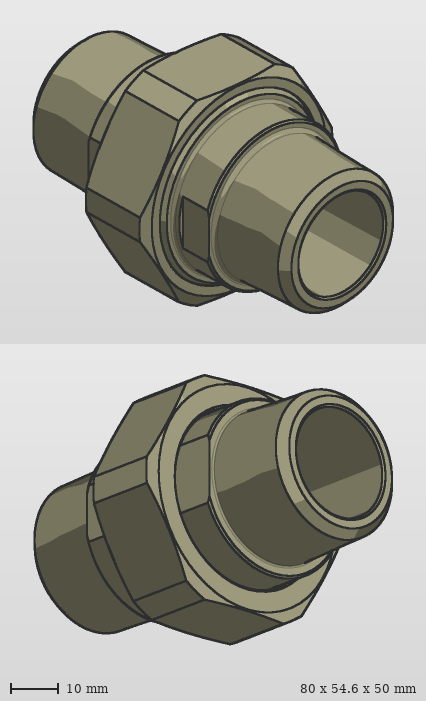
import cadquery as cq
import math

LENGTH = 80.0

END_RADIUS = 14.4
END_CHAMFER_LENGTH = 2.1
TAPER_START_RADIUS = 16.3
TAPER_END_RADIUS = 17.0
BORE_CHAMFER = 0.5

COLLAR_RADIUS = 39.0 / 2
COLLAR_CHAMFER = 0.5

NUT_START = 29.4
NUT_END = 48.0
ACROSS_FLATS = 50.0
CORNER_RADIUS = 54.6 / 2
NUT_FACE_RADIUS = 24.7
NUT_CHAMFER_LENGTH = 1.0
LIP_THICKNESS = 3.5
LIP_HOLE_RADIUS = 39.5 / 2
LIP_CHAMFER = 0.5

TAIL_BORE_RADIUS = 24.2 / 2
TAIL_COLLAR_START = 21.0
TAIL_FILLET = 0.4
TAIL_FLAT_OFFSET = 18.0
FLANGE_START = NUT_START + LIP_THICKNESS
FLANGE_THICKNESS = 4.0
FLANGE_END = FLANGE_START + FLANGE_THICKNESS
FLANGE_RADIUS = 43.0 / 2
FLANGE_RECESS_RADIUS = 43.4 / 2

BODY_BORE_RADIUS = 24.0 / 2
SCREW_RADIUS = 44.9 / 2
SCREW_END = 49.0
SCREW_CHAMFER_LENGTH = 1.5
SCREW_END_RADIUS = 21.4
SCREW_FILLET = 0.7
BODY_COLLAR_END = 59.0
BODY_FILLET = 1.0
BODY_FLAT_START = 50.9
BODY_FLAT_OFFSET = 18.5


def revolve_about_x(profile):
    """Revolve a closed (x, radius) outline about the X axis."""
    return profile.close().revolve(360, (0, 0, 0), (1, 0, 0))


def cut_wrench_flats(piece, x_start, x_end, offset):
    """Cut two flats, facing -Y and +Y, between two places along X."""
    depth = COLLAR_RADIUS - offset
    for side in (-1, 1):
        cutter = cq.Workplane("XY").box(x_end - x_start, depth, 2 * COLLAR_RADIUS).translate(
            ((x_start + x_end) / 2, side * (offset + depth / 2), 0)
        )
        piece = piece.cut(cutter)
    return piece


def make_tailpiece():
    taper_end = TAIL_COLLAR_START - TAIL_FILLET
    profile = (
        cq.Workplane("XY")
        .moveTo(0, TAIL_BORE_RADIUS + BORE_CHAMFER)
        .lineTo(0, END_RADIUS)
        .lineTo(END_CHAMFER_LENGTH, TAPER_START_RADIUS)
        .lineTo(taper_end, TAPER_END_RADIUS)
        .radiusArc((TAIL_COLLAR_START, TAPER_END_RADIUS + TAIL_FILLET), -TAIL_FILLET)
        .lineTo(TAIL_COLLAR_START, COLLAR_RADIUS - COLLAR_CHAMFER)
        .lineTo(TAIL_COLLAR_START + COLLAR_CHAMFER, COLLAR_RADIUS)
        .lineTo(FLANGE_START, COLLAR_RADIUS)
        .lineTo(FLANGE_START, FLANGE_RADIUS)
        .lineTo(FLANGE_END, FLANGE_RADIUS)
        .lineTo(FLANGE_END, TAIL_BORE_RADIUS)
        .lineTo(BORE_CHAMFER, TAIL_BORE_RADIUS)
    )
    return cut_wrench_flats(revolve_about_x(profile), TAIL_COLLAR_START, FLANGE_START, TAIL_FLAT_OFFSET)


def make_body():
    profile = (
        cq.Workplane("XY")
        .moveTo(FLANGE_END, BODY_BORE_RADIUS)
        .lineTo(FLANGE_END, SCREW_RADIUS)
        .lineTo(SCREW_END - SCREW_CHAMFER_LENGTH, SCREW_RADIUS)
        .lineTo(SCREW_END, SCREW_END_RADIUS)
        .lineTo(SCREW_END, COLLAR_RADIUS + SCREW_FILLET)
        .radiusArc((SCREW_END + SCREW_FILLET, COLLAR_RADIUS), -SCREW_FILLET)
        .lineTo(BODY_COLLAR_END - COLLAR_CHAMFER, COLLAR_RADIUS)
        .lineTo(BODY_COLLAR_END, COLLAR_RADIUS - COLLAR_CHAMFER)
        .lineTo(BODY_COLLAR_END, TAPER_END_RADIUS + BODY_FILLET)
        .radiusArc((BODY_COLLAR_END + BODY_FILLET, TAPER_END_RADIUS), -BODY_FILLET)
        .lineTo(LENGTH - END_CHAMFER_LENGTH, TAPER_START_RADIUS)
        .lineTo(LENGTH, END_RADIUS)
        .lineTo(LENGTH, BODY_BORE_RADIUS + BORE_CHAMFER)
        .lineTo(LENGTH - BORE_CHAMFER, BODY_BORE_RADIUS)
    )
    return cut_wrench_flats(revolve_about_x(profile), BODY_FLAT_START, BODY_COLLAR_END, BODY_FLAT_OFFSET)


def make_nut():
    across_corners = ACROSS_FLATS / math.cos(math.pi / 6)
    hexagon = (
        cq.Workplane("YZ", origin=(NUT_START, 0, 0))
        .polygon(6, across_corners)
        .extrude(NUT_END - NUT_START)
    )
    turned_profile = (
        cq.Workplane("XY")
        .moveTo(NUT_START, LIP_HOLE_RADIUS + LIP_CHAMFER)
        .lineTo(NUT_START, NUT_FACE_RADIUS)
        .lineTo(NUT_START + NUT_CHAMFER_LENGTH, CORNER_RADIUS)
        .lineTo(NUT_END - NUT_CHAMFER_LENGTH, CORNER_RADIUS)
        .lineTo(NUT_END, NUT_FACE_RADIUS)
        .lineTo(NUT_END, SCREW_RADIUS)
        .lineTo(FLANGE_END, SCREW_RADIUS)
        .lineTo(FLANGE_END, FLANGE_RECESS_RADIUS)
        .lineTo(FLANGE_START, FLANGE_RECESS_RADIUS)
        .lineTo(FLANGE_START, LIP_HOLE_RADIUS)
        .lineTo(NUT_START + LIP_CHAMFER, LIP_HOLE_RADIUS)
    )
    return hexagon.intersect(revolve_about_x(turned_profile))


tailpiece = make_tailpiece()
body = make_body()
nut = make_nut()

result = cq.Compound.makeCompound([tailpiece.solids().val(), body.solids().val(), nut.solids().val()])